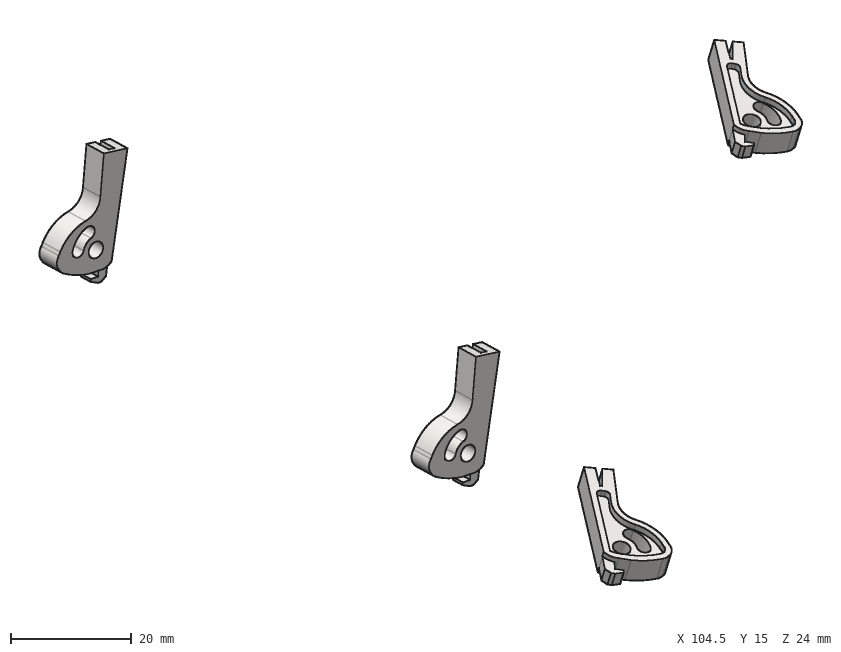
import cadquery as cq
import math


OVERALL_LENGTH = 104.5
LEVER_WIDTH = 4.7

TOP_BACK = (-6.7, 16.7)
TOP_FRONT = (-1.7, 17.2)
NECK_FRONT = (-0.9, 9.5)
WAIST_MIDDLE = (0.0, 7.2)
WAIST_END = (2.2, 6.0)
BROW_MIDDLE = (5.4, 4.4)
BROW_END = (7.5, 1.9)
NOSE_TOP = (7.8, 1.3)
NOSE_MIDDLE = (8.3, -0.1)
NOSE_BOTTOM = (7.7, -1.5)
CHIN_MIDDLE = (7.3, -2.0)
CHIN_END = (6.7, -2.4)
BELLY_MIDDLE = (4.1, -3.5)
BELLY_END = (1.3, -4.0)
HEEL_FRONT = (-0.8, -4.0)
HEEL_MIDDLE = (-2.3, -3.8)
HEEL_BACK = (-3.3, -3.0)

RIM_WIDTH = 1.1
RECESS_DEPTH = 1.3
RECESS_TOP = 11.7
RECESS_TOP_RADIUS = 0.8

PIVOT_DIAMETER = 3.0
SLOT_PATH_RADIUS = 3.9
SLOT_WIDTH = 2.4
SLOT_START_ANGLE = 14.0
SLOT_END_ANGLE = 68.0

NOTCH_BACK = -4.8
NOTCH_FRONT = -3.6
NOTCH_FLOOR_WIDTH = 0.4
NOTCH_FLOOR = 12.9
NOTCH_DEPTH = 3.7

HOOK_WIDTH = 2.7
HOOK_BACK = (-2.9, -6.1)
HOOK_BOTTOM_BACK = (-1.9, -6.8)
HOOK_BOTTOM_FRONT = (-1.1, -6.8)
HOOK_TIP_BOTTOM = (0.3, -6.2)
HOOK_TIP_TOP = (0.3, -5.6)
HOOK_STEM_FRONT = -1.3


def side_plane(x):
    """Sketch plane at x, with forward (-Y) to the right, Z up and its normal along -X."""
    return cq.Workplane(cq.Plane(origin=(x, 0, 0), xDir=(0, -1, 0), normal=(-1, 0, 0)))


def polar(radius, degrees):
    angle = math.radians(degrees)
    return (radius * math.cos(angle), radius * math.sin(angle))


def lever_outline(x):
    return (
        side_plane(x)
        .moveTo(*TOP_BACK)
        .lineTo(*TOP_FRONT)
        .lineTo(*NECK_FRONT)
        .threePointArc(WAIST_MIDDLE, WAIST_END)
        .threePointArc(BROW_MIDDLE, BROW_END)
        .lineTo(*NOSE_TOP)
        .threePointArc(NOSE_MIDDLE, NOSE_BOTTOM)
        .threePointArc(CHIN_MIDDLE, CHIN_END)
        .threePointArc(BELLY_MIDDLE, BELLY_END)
        .lineTo(*HEEL_FRONT)
        .threePointArc(HEEL_MIDDLE, HEEL_BACK)
        .close()
    )


def recess():
    """The lever outline moved in by the rim, cut off level near the top and rounded there."""
    inner = lever_outline(RECESS_DEPTH).offset2D(-RIM_WIDTH).extrude(RECESS_DEPTH)
    removed_height = TOP_FRONT[1] - RECESS_TOP
    above = (
        side_plane(RECESS_DEPTH)
        .center(0, RECESS_TOP + removed_height / 2)
        .rect(2 * NOSE_MIDDLE[0], removed_height)
        .extrude(RECESS_DEPTH)
    )
    return inner.cut(above).edges("|X and >Z").fillet(RECESS_TOP_RADIUS)


def curved_slot():
    inner = SLOT_PATH_RADIUS - SLOT_WIDTH / 2
    outer = SLOT_PATH_RADIUS + SLOT_WIDTH / 2
    middle_angle = (SLOT_START_ANGLE + SLOT_END_ANGLE) / 2
    band = (
        side_plane(LEVER_WIDTH)
        .moveTo(*polar(inner, SLOT_START_ANGLE))
        .lineTo(*polar(outer, SLOT_START_ANGLE))
        .threePointArc(polar(outer, middle_angle), polar(outer, SLOT_END_ANGLE))
        .lineTo(*polar(inner, SLOT_END_ANGLE))
        .threePointArc(polar(inner, middle_angle), polar(inner, SLOT_START_ANGLE))
        .close()
        .extrude(LEVER_WIDTH)
    )
    ends = [polar(SLOT_PATH_RADIUS, a) for a in (SLOT_START_ANGLE, SLOT_END_ANGLE)]
    return band.union(side_plane(LEVER_WIDTH).pushPoints(ends).circle(SLOT_WIDTH / 2).extrude(LEVER_WIDTH))


def notch():
    top = TOP_FRONT[1]
    return (
        side_plane(NOTCH_DEPTH)
        .polyline([
            (NOTCH_BACK, top),
            (NOTCH_FRONT, top),
            (NOTCH_FRONT, NOTCH_FLOOR),
            (NOTCH_FRONT - NOTCH_FLOOR_WIDTH, NOTCH_FLOOR),
        ])
        .close()
        .extrude(NOTCH_DEPTH)
    )


def hook():
    return (
        side_plane((LEVER_WIDTH + HOOK_WIDTH) / 2)
        .polyline([
            HEEL_BACK,
            HOOK_BACK,
            HOOK_BOTTOM_BACK,
            HOOK_BOTTOM_FRONT,
            HOOK_TIP_BOTTOM,
            HOOK_TIP_TOP,
            (HOOK_STEM_FRONT, HOOK_TIP_TOP[1]),
            (HOOK_STEM_FRONT, HEEL_BACK[1]),
        ])
        .close()
        .extrude(HOOK_WIDTH)
    )


def lever():
    """One lever, from x = 0 to x = LEVER_WIDTH."""
    pivot_hole = side_plane(LEVER_WIDTH).circle(PIVOT_DIAMETER / 2).extrude(LEVER_WIDTH)
    return (
        lever_outline(LEVER_WIDTH)
        .extrude(LEVER_WIDTH)
        .union(hook())
        .cut(recess())
        .cut(pivot_hole)
        .cut(curved_slot())
        .cut(notch())
    )


lever_starts = [-OVERALL_LENGTH / 2, OVERALL_LENGTH / 2 - LEVER_WIDTH]
levers = [lever().translate((x, 0, 0)) for x in lever_starts]

result = cq.Compound.makeCompound([body.val() for body in levers])